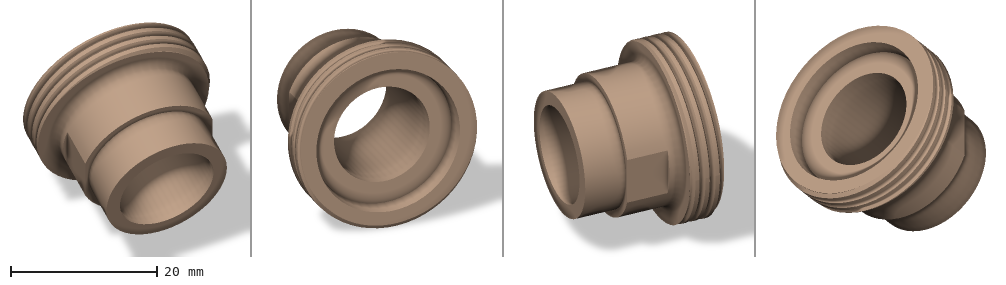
import cadquery as cq

flange_length = 5.0
body_end = 13.0
total_length = 19.0
flat_start = 7.0

flange_radius = 13.0
body_radius = 10.13
spigot_radius = 9.0
bore_radius = 7.0
body_fillet = 1.0

recess_mouth_radius = 10.5
recess_floor_radius = 10.15
recess_depth = 2.4

flat_distance = 19.0

pitch = 1.5
thread_depth = 0.55
groove_mouth_width = 0.87
groove_root_width = 0.24
groove_center_x = -0.07
cutter_overlap = 0.1


def make_turned_body():
    """Revolve the outer profile, with a concave fillet behind the flange."""
    fillet_mid = body_fillet * (1 - 0.5**0.5)
    profile = (
        cq.Workplane("XY")
        .lineTo(0, flange_radius)
        .lineTo(flange_length, flange_radius)
        .lineTo(flange_length, body_radius + body_fillet)
        .threePointArc(
            (flange_length + fillet_mid, body_radius + fillet_mid),
            (flange_length + body_fillet, body_radius),
        )
        .lineTo(body_end, body_radius)
        .lineTo(body_end, spigot_radius)
        .lineTo(total_length, spigot_radius)
        .lineTo(total_length, 0)
        .close()
    )
    return profile.revolve(360, (0, 0, 0), (1, 0, 0))


def make_passage():
    """Through bore joined to the tapered recess, as one revolved cutter."""
    profile = (
        cq.Workplane("XY")
        .lineTo(0, recess_mouth_radius)
        .lineTo(recess_depth, recess_floor_radius)
        .lineTo(recess_depth, bore_radius)
        .lineTo(total_length, bore_radius)
        .lineTo(total_length, 0)
        .close()
    )
    return profile.revolve(360, (0, 0, 0), (1, 0, 0))


def make_flat_cutter(side):
    """Block that cuts one wrench flat; side is -1 for -Y or +1 for +Y."""
    cutter_thickness = body_radius
    center_y = side * (flat_distance + cutter_thickness) / 2
    return (
        cq.Workplane("XY")
        .box(body_end - flat_start, cutter_thickness, 2 * body_radius)
        .translate(((flat_start + body_end) / 2, center_y, 0))
    )


def make_thread_cutter():
    """Sweep a trapezoidal groove along a helix that runs past both flange faces."""
    root_radius = flange_radius - thread_depth
    outer_radius = flange_radius + cutter_overlap
    flank_slope = (groove_mouth_width - groove_root_width) / (2 * thread_depth)
    half_root = groove_root_width / 2
    half_outer = groove_mouth_width / 2 + cutter_overlap * flank_slope
    helix_length = flange_length + 2 * pitch

    helix = cq.Wire.makeHelix(pitch, helix_length, root_radius)
    cutter = (
        cq.Workplane("XZ")
        .polyline(
            [
                (root_radius, -half_root),
                (outer_radius, -half_outer),
                (outer_radius, half_outer),
                (root_radius, half_root),
            ]
        )
        .close()
        .sweep(cq.Workplane(helix), isFrenet=True)
    )
    cutter = cutter.rotate((0, 0, 0), (0, 1, 0), 90).translate((groove_center_x - pitch, 0, 0))
    flange_envelope = cq.Workplane("YZ").circle(2 * flange_radius).extrude(flange_length)
    return cutter.intersect(flange_envelope)


result = make_turned_body().cut(make_passage())
for side in (-1, 1):
    result = result.cut(make_flat_cutter(side))
result = result.cut(make_thread_cutter())